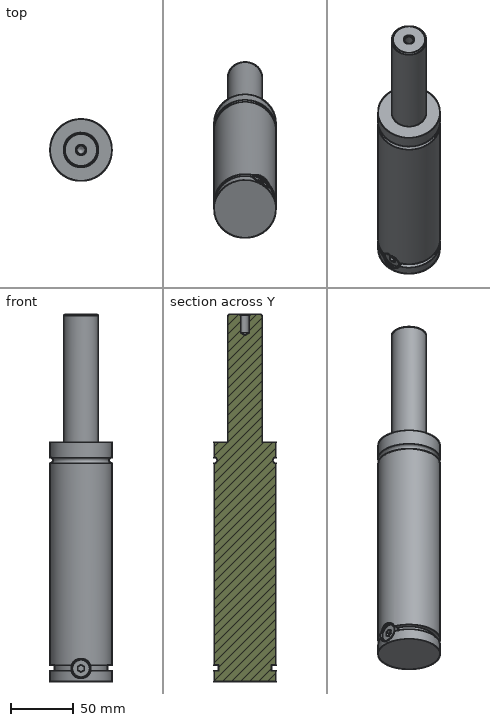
import cadquery as cq
import math

total_height = 295.0
body_radius = 50.0 / 2
rod_radius = 28.0 / 2
rod_chamfer = 1.2
collar_top = 192.3

upper_groove_bottom = 175.5
upper_groove_height = 4.5
upper_groove_depth = 2.5

lower_groove_bottom = 8.8
lower_groove_height = 4.5
lower_groove_depth = 3.5

rod_hole_diameter = 6.8
rod_hole_depth = 14.8
rod_hole_mouth_diameter = 8.5
drill_tip_angle = 118

port_height = 10.5
port_diameter = 16.0
port_face = 24.0
port_root = 14.8
plug_diameter = 14.0
socket_across_corners = 6.0
socket_depth = 3.0


def make_body():
    """Body and rod revolved about Z, with both grooves in the outline."""
    neck_radius = body_radius - upper_groove_depth
    lower_neck_radius = body_radius - lower_groove_depth
    lower_groove_top = lower_groove_bottom + lower_groove_height
    upper_groove_top = upper_groove_bottom + upper_groove_height
    upper_groove_middle = upper_groove_bottom + upper_groove_height / 2
    return (
        cq.Workplane("XZ")
        .lineTo(body_radius, 0)
        .lineTo(body_radius, lower_groove_bottom)
        .lineTo(lower_neck_radius, lower_groove_bottom)
        .lineTo(lower_neck_radius, lower_groove_top)
        .lineTo(body_radius, lower_groove_top)
        .lineTo(body_radius, upper_groove_bottom)
        .threePointArc((neck_radius, upper_groove_middle), (body_radius, upper_groove_top))
        .lineTo(body_radius, collar_top)
        .lineTo(rod_radius, collar_top)
        .lineTo(rod_radius, total_height - rod_chamfer)
        .lineTo(rod_radius - rod_chamfer, total_height)
        .lineTo(0, total_height)
        .close()
        .revolve(360, (0, 0, 0), (0, 1, 0))
    )


def cut_rod_hole(body):
    """Blind hole in the rod end with a drill tip and a countersunk mouth."""
    tip_radius = rod_hole_diameter / 2
    mouth_radius = rod_hole_mouth_diameter / 2
    mouth_depth = mouth_radius - tip_radius
    tip_height = tip_radius / math.tan(math.radians(drill_tip_angle / 2))
    cutter = (
        cq.Workplane("XZ")
        .moveTo(0, total_height)
        .lineTo(mouth_radius, total_height)
        .lineTo(tip_radius, total_height - mouth_depth)
        .lineTo(tip_radius, total_height - rod_hole_depth)
        .lineTo(0, total_height - rod_hole_depth - tip_height)
        .close()
        .revolve(360, (0, total_height, 0), (0, total_height - 3, 0))
    )
    return body.cut(cutter)


def port_plane(distance):
    """Work plane facing -Y, at the port height and a distance from the axis."""
    return cq.Workplane("XZ", origin=(0, -distance, port_height))


def add_port(body):
    """Flat round port bridging the lower groove, with a 45 degree dish down to a socket plug."""
    dish_depth = (port_diameter - plug_diameter) / 2
    plug_face = port_face - dish_depth
    boss = port_plane(port_root).circle(port_diameter / 2).extrude(port_face - port_root)
    spot_face = port_plane(port_face).circle(port_diameter / 2).extrude(body_radius - port_face)
    dish = (
        port_plane(port_face)
        .circle(port_diameter / 2)
        .workplane(offset=-dish_depth)
        .circle(plug_diameter / 2)
        .loft()
    )
    socket = port_plane(plug_face - socket_depth).polygon(6, socket_across_corners)
    socket = socket.extrude(socket_depth).rotate((0, 0, port_height), (0, 1, port_height), 90)
    return body.union(boss).cut(spot_face).cut(dish).cut(socket)


result = add_port(cut_rod_hole(make_body()))